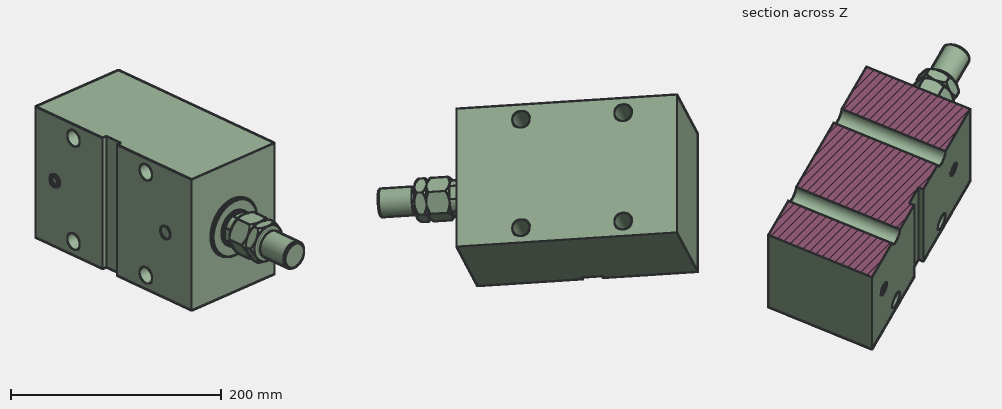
import cadquery as cq
import math

HOUSING_LENGTH = 213.0
HOUSING_DEPTH = 110.0
HOUSING_HEIGHT = 140.0
FRONT_EDGE_CHAMFER = 0.25

GROOVE_START = 91.5
GROOVE_WIDTH = 19.5
GROOVE_DEPTH = 5.0

MOUNT_HOLE_DIAMETER = 17.0
MOUNT_FIRST_X = 52.0
MOUNT_SPACING_X = 98.5
MOUNT_SPACING_Z = 110.0

PORT_DIAMETER = 13.5
PORT_RECESS_DEPTH = 1.05
REAR_PORT_X = 25.8
HEAD_PORT_X = 176.7
REAR_PORT_ISLAND_DIAMETER = 8.0

BOSS_DIAMETER = 60.0
BOSS_LENGTH = 3.0
BOSS_CHAMFER = 1.2

COLLAR_DIAMETER = 36.5
COLLAR_LENGTH = 2.7
ROD_NECK_DIAMETER = 34.5
ROD_NECK_LENGTH = 8.3
WRENCH_SIZE = 31.8

HEX_SIZE = 36.5
HEX_CORNER_DIAMETER = HEX_SIZE / math.cos(math.pi / 6)
HEX_CHAMFER = (HEX_CORNER_DIAMETER - HEX_SIZE) / 2
COUPLING_LENGTH = 22.3
HEAD_LENGTH = 11.5

UNDERCUT_DIAMETER = 24.7
UNDERCUT_LENGTH = 3.3
UNDERCUT_FILLET = 1.5
THREAD_DIAMETER = 27.5
TIP_CHAMFER = 1.5
TOTAL_LENGTH = 297.0

BOSS_END = HOUSING_LENGTH + BOSS_LENGTH
ROD_END = BOSS_END + COLLAR_LENGTH + ROD_NECK_LENGTH
COUPLING_END = ROD_END + COUPLING_LENGTH
HEAD_END = COUPLING_END + HEAD_LENGTH
THREAD_START = HEAD_END + UNDERCUT_LENGTH

FRONT_Y = -HOUSING_DEPTH / 2


def axial_cylinder(start_x, diameter, length):
    """Cylinder on the X axis."""
    return cq.Workplane("YZ", origin=(start_x, 0, 0)).circle(diameter / 2).extrude(length)


def cylinder_from_front(x, z, diameter, depth):
    """Cylinder running from the front face in the +Y direction."""
    return cq.Workplane("XZ", origin=(x, FRONT_Y, z)).circle(diameter / 2).extrude(-depth)


def chamfered_hexagon(start_x, length):
    """Hexagonal prism with two flats facing +Z and -Z and its corners turned off at both ends."""
    prism = (
        cq.Workplane("YZ", origin=(start_x, 0, 0))
        .polygon(6, HEX_CORNER_DIAMETER)
        .extrude(length)
    )
    turned_blank = (
        axial_cylinder(start_x, HEX_CORNER_DIAMETER, length)
        .faces("<X or >X")
        .chamfer(HEX_CHAMFER)
    )
    return prism.intersect(turned_blank)


def make_housing():
    block = (
        cq.Workplane("XY")
        .box(HOUSING_LENGTH, HOUSING_DEPTH, HOUSING_HEIGHT)
        .translate((HOUSING_LENGTH / 2, 0, 0))
        .faces("<Y")
        .edges("|X")
        .chamfer(FRONT_EDGE_CHAMFER)
    )
    groove = cq.Workplane("XY").box(GROOVE_WIDTH, 2 * GROOVE_DEPTH, HOUSING_HEIGHT)
    block = block.cut(groove.translate((GROOVE_START + GROOVE_WIDTH / 2, FRONT_Y, 0)))

    for x in (MOUNT_FIRST_X, MOUNT_FIRST_X + MOUNT_SPACING_X):
        for z in (-MOUNT_SPACING_Z / 2, MOUNT_SPACING_Z / 2):
            block = block.cut(cylinder_from_front(x, z, MOUNT_HOLE_DIAMETER, HOUSING_DEPTH))

    for x in (REAR_PORT_X, HEAD_PORT_X):
        block = block.cut(cylinder_from_front(x, 0, PORT_DIAMETER, PORT_RECESS_DEPTH))
    block = block.union(cylinder_from_front(REAR_PORT_X, 0, REAR_PORT_ISLAND_DIAMETER, PORT_RECESS_DEPTH))

    boss = axial_cylinder(HOUSING_LENGTH, BOSS_DIAMETER, BOSS_LENGTH).faces(">X").chamfer(BOSS_CHAMFER)
    return block.union(boss)


def make_rod():
    collar = axial_cylinder(BOSS_END, COLLAR_DIAMETER, COLLAR_LENGTH)
    neck_start = BOSS_END + COLLAR_LENGTH
    neck = axial_cylinder(neck_start, ROD_NECK_DIAMETER, ROD_NECK_LENGTH)
    wrench_square = (
        cq.Workplane("YZ", origin=(neck_start, 0, 0))
        .rect(WRENCH_SIZE, WRENCH_SIZE)
        .extrude(ROD_NECK_LENGTH)
    )
    return collar.union(neck.intersect(wrench_square))


def make_coupling_nut():
    return chamfered_hexagon(ROD_END, COUPLING_LENGTH)


def make_stud():
    root_radius = UNDERCUT_DIAMETER / 2
    thread_radius = THREAD_DIAMETER / 2
    fillet_offset = UNDERCUT_FILLET * (1 - math.sqrt(0.5))
    shank = (
        cq.Workplane("XY")
        .moveTo(HEAD_END, 0)
        .lineTo(HEAD_END, root_radius + UNDERCUT_FILLET)
        .threePointArc(
            (HEAD_END + fillet_offset, root_radius + fillet_offset),
            (HEAD_END + UNDERCUT_FILLET, root_radius),
        )
        .lineTo(THREAD_START, root_radius)
        .lineTo(THREAD_START, thread_radius)
        .lineTo(TOTAL_LENGTH - TIP_CHAMFER, thread_radius)
        .lineTo(TOTAL_LENGTH, thread_radius - TIP_CHAMFER)
        .lineTo(TOTAL_LENGTH, 0)
        .close()
        .revolve(360, (0, 0, 0), (1, 0, 0))
    )
    return chamfered_hexagon(COUPLING_END, HEAD_LENGTH).union(shank)


housing = make_housing()
rod = make_rod()
coupling_nut = make_coupling_nut()
stud = make_stud()

result = cq.Compound.makeCompound([housing.val(), rod.val(), coupling_nut.val(), stud.val()])